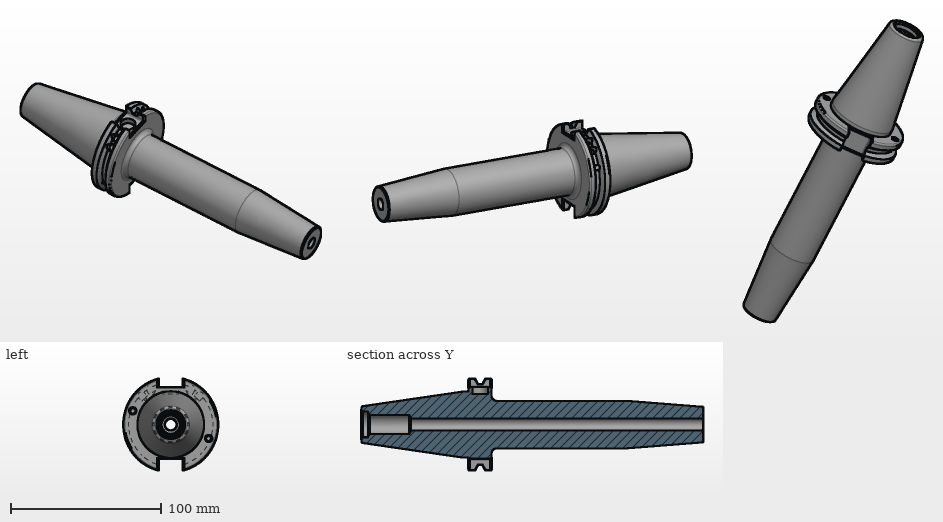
import cadquery as cq
import math

total_length = 228.2

gauge_x = 68.5
gauge_radius = 44.5 / 2
taper_ratio = 7 / 24
small_end_radius = gauge_radius - gauge_x * taper_ratio / 2
small_end_round = 1.8

flange_back_x = 71.5
flange_front_x = 87.2
flange_radius = 63.5 / 2
flange_round = 1.1
groove_x = 79.5
groove_mouth_width = 7.0
groove_root_radius = 56.1 / 2
groove_flank_angle = math.radians(30)
groove_depth = flange_radius - groove_root_radius
groove_mouth_half = groove_mouth_width / 2
groove_root_half = groove_mouth_half - groove_depth * math.tan(groove_flank_angle)

body_radius = 32.0 / 2
body_fillet = 3.2
nose_radius = 24.0 / 2
nose_angle = math.radians(4.5)
nose_start_x = total_length - (body_radius - nose_radius) / math.tan(nose_angle)
nose_chamfer = 0.7

bore_mouth_radius = 9.5
counterbore_radius = 17.0 / 2
counterbore_depth = 4.5
countersink_radius = 7.5
thread_radius = 12.3 / 2
thread_depth = 32.0
through_radius = 7.8 / 2

drill_point_angle = math.radians(59)

slot_width = 16.0
slot_top_floor = 25.0
slot_bottom_floor = 22.8
slot_corner_fillet = 0.7
slot_side_chamfer = 1.1
slot_floor_chamfer = 0.5
slot_rim_chamfer = 0.5

pocket_diameter = 10.0
pocket_depth = 4.5

radial_hole_angles = (-45, -30, 30, 45)
radial_hole_diameter = 5.0
radial_hole_depth = 3.5

axial_hole_circle_radius = 27.0
axial_hole_diameter = 3.9
axial_hole_angles = (20, 200)
axial_hole_chamfer = 0.5
axial_hole_depth = groove_x + groove_root_half - flange_back_x


def turned_body():
    profile = (
        cq.Workplane("XZ")
        .moveTo(0, 0)
        .lineTo(0, small_end_radius)
        .lineTo(gauge_x, gauge_radius)
        .lineTo(flange_back_x, gauge_radius)
        .lineTo(flange_back_x, flange_radius - flange_round)
        .radiusArc((flange_back_x + flange_round, flange_radius), flange_round)
        .lineTo(groove_x - groove_mouth_half, flange_radius)
        .lineTo(groove_x - groove_root_half, groove_root_radius)
        .lineTo(groove_x + groove_root_half, groove_root_radius)
        .lineTo(groove_x + groove_mouth_half, flange_radius)
        .lineTo(flange_front_x - flange_round, flange_radius)
        .radiusArc((flange_front_x, flange_radius - flange_round), flange_round)
        .lineTo(flange_front_x, body_radius + body_fillet)
        .radiusArc((flange_front_x + body_fillet, body_radius), -body_fillet)
        .lineTo(nose_start_x, body_radius)
        .lineTo(total_length, nose_radius)
        .lineTo(total_length, 0)
        .close()
    )
    body = profile.revolve(360, (0, 0, 0), (1, 0, 0))
    body = body.faces("<X").edges().fillet(small_end_round)
    return body.faces(">X").edges().chamfer(nose_chamfer)


def drill_point(from_radius, to_radius=0.0):
    """Length of the conical step that a drill leaves between two radii."""
    return (from_radius - to_radius) / math.tan(drill_point_angle)


def bore():
    mouth_depth = bore_mouth_radius - counterbore_radius
    countersink_end_x = counterbore_depth + countersink_radius - thread_radius
    return (
        cq.Workplane("XZ")
        .polyline([
            (0, 0),
            (0, bore_mouth_radius),
            (mouth_depth, counterbore_radius),
            (counterbore_depth, counterbore_radius),
            (counterbore_depth, countersink_radius),
            (countersink_end_x, thread_radius),
            (thread_depth, thread_radius),
            (thread_depth + drill_point(thread_radius, through_radius), through_radius),
            (total_length, through_radius),
            (total_length, 0),
        ])
        .close()
        .revolve(360, (0, 0, 0), (1, 0, 0))
    )


def slot_cutter(floor_height):
    """Slot at the top of the flange, open outward, with its floor at floor_height."""
    half_width = slot_width / 2
    slot_height = flange_radius
    middle_z = floor_height + slot_height / 2
    mouth_width = slot_width + 2 * slot_side_chamfer

    slot = (
        cq.Workplane("YZ", origin=(flange_back_x, 0, middle_z))
        .rect(slot_width, slot_height)
        .extrude(flange_front_x - flange_back_x)
        .edges("|X and <Z")
        .fillet(slot_corner_fillet)
    )

    for face_x, inward in ((flange_back_x, 1), (flange_front_x, -1)):
        flare = (
            cq.Workplane("YZ", origin=(face_x, 0, middle_z - slot_floor_chamfer))
            .rect(mouth_width, slot_height)
            .workplane(offset=inward * slot_side_chamfer)
            .center(0, slot_floor_chamfer)
            .rect(slot_width, slot_height)
            .loft()
        )
        slot = slot.union(flare)

    rim_z = math.sqrt(flange_radius**2 - half_width**2)
    low_z = rim_z - slot_rim_chamfer
    high_z = rim_z + slot_rim_chamfer
    high_y = half_width + 2 * slot_rim_chamfer
    rim_wedge = (
        cq.Workplane("YZ", origin=(flange_back_x, 0, 0))
        .polyline([(-half_width, low_z), (half_width, low_z), (high_y, high_z), (-high_y, high_z)])
        .close()
        .extrude(flange_front_x - flange_back_x)
    )
    return slot.union(rim_wedge)


def slot_floor_pocket():
    return (
        cq.Workplane("XY", origin=(groove_x, 0, slot_top_floor - pocket_depth))
        .circle(pocket_diameter / 2)
        .extrude(flange_radius)
    )


def radial_hole(angle):
    radius = radial_hole_diameter / 2
    bottom_z = groove_root_radius - radial_hole_depth
    return (
        cq.Workplane("XZ", origin=(groove_x, 0, 0))
        .polyline([
            (0, bottom_z - drill_point(radius)),
            (radius, bottom_z),
            (radius, flange_radius),
            (0, flange_radius),
        ])
        .close()
        .revolve(360, (0, 0, 0), (0, 1, 0))
        .rotate((0, 0, 0), (1, 0, 0), angle)
    )


def axial_hole(angle):
    turn = math.radians(angle)
    y = axial_hole_circle_radius * math.cos(turn)
    z = axial_hole_circle_radius * math.sin(turn)
    radius = axial_hole_diameter / 2
    return (
        cq.Workplane("XZ", origin=(flange_back_x, y, z))
        .polyline([
            (0, 0),
            (0, radius + axial_hole_chamfer),
            (axial_hole_chamfer, radius),
            (axial_hole_depth, radius),
            (axial_hole_depth + drill_point(radius), 0),
        ])
        .close()
        .revolve(360, (0, 0, 0), (1, 0, 0))
    )


result = turned_body().cut(bore())
result = result.cut(slot_cutter(slot_top_floor))
result = result.cut(slot_cutter(slot_bottom_floor).rotate((0, 0, 0), (1, 0, 0), 180))
result = result.cut(slot_floor_pocket())
for hole_angle in radial_hole_angles:
    result = result.cut(radial_hole(hole_angle))
for hole_angle in axial_hole_angles:
    result = result.cut(axial_hole(hole_angle))